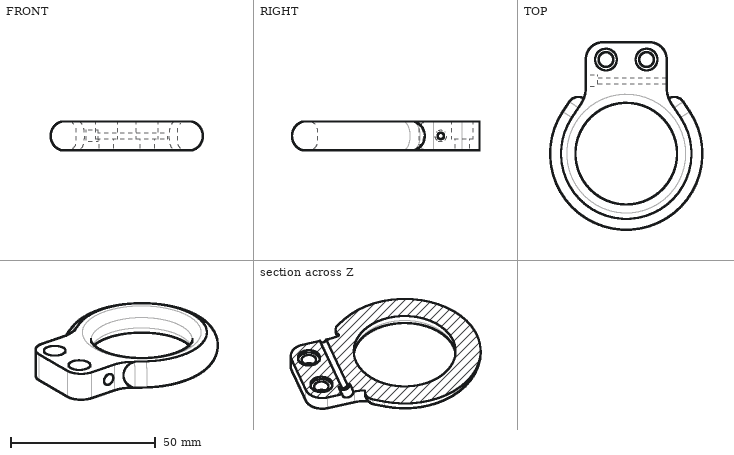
import cadquery as cq
import math

thickness = 10.0
bore_radius = 17.5
bore_fillet = 3.0
plate_radius = 22.5
rim_bulge = 3.81

tab_width = 28.0
tab_end_y = 38.47
tab_corner_radius = 6.0
shoulder_radius = 10.0
flank_angle = 33.5
rim_straight_length = 4.1

mount_spacing = 14.0
mount_y = 32.45
mount_diameter = 5.0
mount_bore_diameter = 7.5
mount_bore_depth = 6.0

cross_y = 25.1
cross_diameter = 2.15
cross_bore_diameter = 4.0
cross_bore_depth = 4.0

half_tab = tab_width / 2
half_thickness = thickness / 2
cos_flank = math.cos(math.radians(flank_angle))
sin_flank = math.sin(math.radians(flank_angle))

tangent_x = plate_radius * cos_flank
tangent_y = plate_radius * sin_flank
shoulder_y = (plate_radius - half_tab * cos_flank) / sin_flank


def make_plate():
    """Flat ring and tab outline, one thickness high."""
    plate = (
        cq.Workplane("XY")
        .moveTo(tangent_x, tangent_y)
        .lineTo(half_tab, shoulder_y)
        .lineTo(half_tab, tab_end_y)
        .lineTo(-half_tab, tab_end_y)
        .lineTo(-half_tab, shoulder_y)
        .lineTo(-tangent_x, tangent_y)
        .threePointArc((0, -plate_radius), (tangent_x, tangent_y))
        .close()
        .extrude(thickness)
    )
    for side in (-1, 1):
        corner = (side * half_tab, tab_end_y, half_thickness)
        shoulder = (side * half_tab, shoulder_y, half_thickness)
        plate = plate.edges(cq.NearestToPointSelector(corner)).fillet(tab_corner_radius)
        plate = plate.edges(cq.NearestToPointSelector(shoulder)).fillet(shoulder_radius)
    return plate


def rim_profile(edge):
    """Bulged rim section in the XZ plane, standing out from the vertical line at `edge`."""
    return (
        cq.Workplane("XZ")
        .moveTo(edge, 0)
        .threePointArc((edge + rim_bulge, half_thickness), (edge, thickness))
        .close()
    )


def make_rim():
    """Bulged rim: an arc round the ring, then a straight and a round end on each side."""
    sweep_angle = 180 + 2 * flank_angle
    rim = (
        rim_profile(plate_radius)
        .revolve(sweep_angle, (0, 0, 0), (0, 1, 0))
        .rotate((0, 0, 0), (0, 0, 1), 180 - flank_angle)
    )
    straight = rim_profile(plate_radius).extrude(-rim_straight_length)
    cap = (
        rim_profile(0)
        .revolve(360, (0, 0, 0), (0, 1, 0))
        .translate((plate_radius, rim_straight_length, 0))
    )
    right_end = straight.union(cap).rotate((0, 0, 0), (0, 0, 1), flank_angle)
    return rim.union(right_end).union(right_end.mirror("YZ"))


def make_bore():
    """Ring bore, flared by a rounded edge at both faces."""
    flare_radius = bore_radius + bore_fillet
    mid = bore_fillet * (1 - math.sqrt(0.5))
    return (
        cq.Workplane("XZ")
        .lineTo(flare_radius, 0)
        .threePointArc((bore_radius + mid, mid), (bore_radius, bore_fillet))
        .lineTo(bore_radius, thickness - bore_fillet)
        .threePointArc((bore_radius + mid, thickness - mid), (flare_radius, thickness))
        .lineTo(0, thickness)
        .close()
        .revolve(360, (0, 0, 0), (0, 1, 0))
    )


def cut_mount_holes(body):
    """Two through holes, counterbored from the top face."""
    centres = [(-mount_spacing / 2, mount_y), (mount_spacing / 2, mount_y)]
    return (
        body.cut(cq.Workplane("XY").pushPoints(centres).circle(mount_diameter / 2).extrude(thickness))
        .cut(
            cq.Workplane("XY", origin=(0, 0, thickness))
            .pushPoints(centres)
            .circle(mount_bore_diameter / 2)
            .extrude(-mount_bore_depth)
        )
    )


def cut_cross_hole(body):
    """Through hole along X, counterbored from the -X side of the tab."""
    entry = cq.Workplane("YZ", origin=(-half_tab, cross_y, half_thickness))
    through = entry.circle(cross_diameter / 2).extrude(tab_width)
    counterbore = entry.circle(cross_bore_diameter / 2).extrude(cross_bore_depth)
    return body.cut(through).cut(counterbore)


body = make_plate().union(make_rim()).cut(make_bore())
body = cut_mount_holes(body)
result = cut_cross_hole(body)